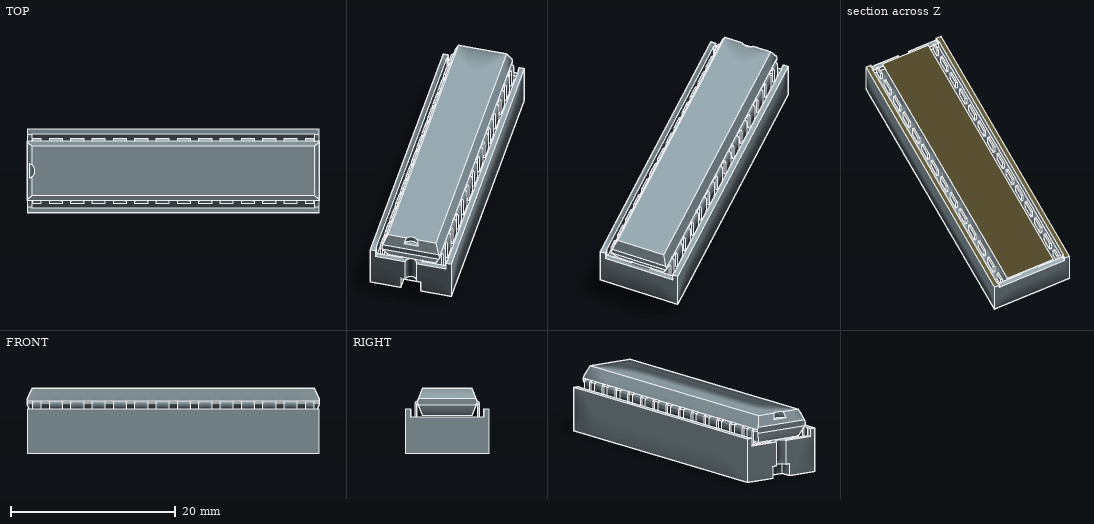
import cadquery as cq

CHIP_LENGTH = 35.6
CHIP_TOP_Z = 7.97
CHIP_BOTTOM_Z = 4.63
SIDE_HALF_WIDTH = 3.63
FLAT_HALF_WIDTH = 3.03
END_INSET = 0.6
END_BAND_TOP_Z = 6.7
END_BAND_BOTTOM_Z = 5.95

NOTCH_RADIUS = 0.93
NOTCH_DEPTH = 0.7

LEGS_PER_SIDE = 14
LEG_PITCH = 2.6
LEG_WIDTH = 1.6
LEG_THICKNESS = 0.25
LEG_TOP_Z = 6.4
LEG_OUTER_Y = 3.95
LEG_BEND_RADIUS = 0.4
LEG_ROW_HALF_LENGTH = 17.12
LEG_UNDERSIDE_Z = LEG_TOP_Z - LEG_THICKNESS
LEG_INNER_Y = LEG_OUTER_Y - LEG_THICKNESS

SOCKET_LENGTH = 35.55
SOCKET_WIDTH = 10.2
SOCKET_HEIGHT = 5.45
FLOOR_Z = 4.5
SIDE_WALL_THICKNESS = 0.68
SLOT_END_MARGIN = 0.57
SLOT_DEPTH = 0.7
SLOT_SIDE_STEP = 0.07

GROOVE_RADIUS = 0.7
KEY_WIDTH = 2.5
KEY_HEIGHT = 1.5
KEY_DEPTH = 1.5

SLOT_INNER_Y = KEY_WIDTH / 2
SLOT_FLOOR_Z = FLOOR_Z - SLOT_DEPTH
CHANNEL_WIDTH = SOCKET_WIDTH - 2 * SIDE_WALL_THICKNESS


def block(length, width, bottom_z, top_z, center_x=0.0):
    """Upright box centred on the X axis of the part."""
    return (
        cq.Workplane("XY", origin=(center_x, 0, bottom_z))
        .rect(length, width)
        .extrude(top_z - bottom_z)
    )


def six_sided_outline(plane, flat_half, wide_half, band_bottom_z, band_top_z):
    """Symmetric hexagon with an upright band between its two tapers."""
    return cq.Workplane(plane).polyline([
        (-flat_half, CHIP_BOTTOM_Z),
        (flat_half, CHIP_BOTTOM_Z),
        (wide_half, band_bottom_z),
        (wide_half, band_top_z),
        (flat_half, CHIP_TOP_Z),
        (-flat_half, CHIP_TOP_Z),
        (-wide_half, band_top_z),
        (-wide_half, band_bottom_z),
    ]).close()


def make_package():
    """Moulded block: the cross-section prism met by the lengthwise prism."""
    half_length = CHIP_LENGTH / 2
    cross_section = six_sided_outline(
        "YZ", FLAT_HALF_WIDTH, SIDE_HALF_WIDTH, LEG_UNDERSIDE_Z, LEG_TOP_Z
    ).extrude(half_length, both=True)
    lengthwise = six_sided_outline(
        "XZ", half_length - END_INSET, half_length, END_BAND_BOTTOM_Z, END_BAND_TOP_Z
    ).extrude(SIDE_HALF_WIDTH, both=True)
    notch = (
        cq.Workplane("XY", origin=(-half_length, 0, CHIP_TOP_Z - NOTCH_DEPTH))
        .circle(NOTCH_RADIUS)
        .extrude(NOTCH_DEPTH)
    )
    return cross_section.intersect(lengthwise).cut(notch)


def make_leg(start_x, end_x):
    """Leg on the +Y side: out of the package, round the bend and down to the slot floor."""
    inner_radius = LEG_BEND_RADIUS - LEG_THICKNESS
    bend_y = LEG_OUTER_Y - LEG_BEND_RADIUS
    bend_z = LEG_TOP_Z - LEG_BEND_RADIUS
    return (
        cq.Workplane("YZ", origin=(start_x, 0, 0))
        .moveTo(0, LEG_TOP_Z)
        .lineTo(bend_y, LEG_TOP_Z)
        .radiusArc((LEG_OUTER_Y, bend_z), LEG_BEND_RADIUS)
        .lineTo(LEG_OUTER_Y, SLOT_FLOOR_Z)
        .lineTo(LEG_INNER_Y, SLOT_FLOOR_Z)
        .lineTo(LEG_INNER_Y, bend_z)
        .radiusArc((bend_y, LEG_UNDERSIDE_Z), -inner_radius)
        .lineTo(0, LEG_UNDERSIDE_Z)
        .close()
        .extrude(end_x - start_x)
    )


def make_chip():
    """Package with both rows of legs."""
    chip = make_package()
    for index in range(LEGS_PER_SIDE):
        center_x = (index - (LEGS_PER_SIDE - 1) / 2) * LEG_PITCH
        start_x = max(center_x - LEG_WIDTH / 2, -LEG_ROW_HALF_LENGTH)
        end_x = min(center_x + LEG_WIDTH / 2, LEG_ROW_HALF_LENGTH)
        leg = make_leg(start_x, end_x)
        chip = chip.union(leg).union(leg.mirror("XZ"))
    return chip


def make_leg_slot():
    """Cutter for the slot under the +Y row of legs, open to the top of the socket."""
    outer_y = CHANNEL_WIDTH / 2 + SLOT_SIDE_STEP
    slot_width = outer_y - SLOT_INNER_Y
    slot_length = SOCKET_LENGTH - 2 * SLOT_END_MARGIN
    return block(slot_length, slot_width, SLOT_FLOOR_Z, SOCKET_HEIGHT).translate(
        (0, (outer_y + SLOT_INNER_Y) / 2, 0)
    )


def make_socket():
    """Block with a channel for the chip, two leg slots and keying cuts in its -X end."""
    end_x = -SOCKET_LENGTH / 2
    body = block(SOCKET_LENGTH, SOCKET_WIDTH, 0, SOCKET_HEIGHT)
    channel = block(SOCKET_LENGTH, CHANNEL_WIDTH, FLOOR_Z, SOCKET_HEIGHT)
    leg_slot = make_leg_slot()
    groove = cq.Workplane("XY", origin=(end_x, 0, 0)).circle(GROOVE_RADIUS).extrude(FLOOR_Z)
    key = block(2 * KEY_DEPTH, KEY_WIDTH, 0, KEY_HEIGHT, end_x)
    return body.cut(channel).cut(leg_slot).cut(leg_slot.mirror("XZ")).cut(groove).cut(key)


socket = make_socket()
chip = make_chip()

result = cq.Compound.makeCompound([socket.val(), chip.val()])